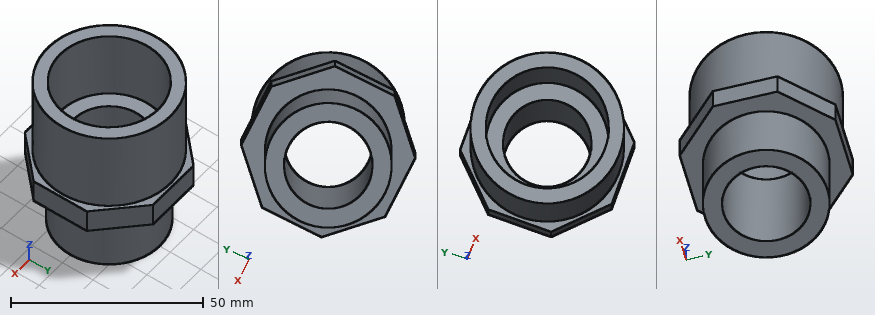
import cadquery as cq
import math

total_height = 52.5
spigot_length = 19.0
collar_height = 7.5
collar_across_flats = 42.0
collar_sides = 8

spigot_diameter = 33.0
socket_diameter = 40.0
socket_bore_diameter = 32.0
through_bore_diameter = 23.0
socket_depth = 22.05

collar_top = spigot_length + collar_height
socket_length = total_height - collar_top


def cylinder(diameter, bottom, height):
    """Upright cylinder on the Z axis, starting at the given level."""
    return cq.Workplane("XY").workplane(offset=bottom).circle(diameter / 2).extrude(height)


def octagonal_collar():
    """Wrench collar with flats facing the X and Y axes."""
    half_corner_angle = math.pi / collar_sides
    across_corners = collar_across_flats / math.cos(half_corner_angle)
    return (
        cq.Workplane("XY")
        .polygon(collar_sides, across_corners)
        .extrude(collar_height)
        .rotate((0, 0, 0), (0, 0, 1), math.degrees(half_corner_angle))
        .translate((0, 0, spigot_length))
    )


spigot = cylinder(spigot_diameter, 0, spigot_length)
socket = cylinder(socket_diameter, collar_top, socket_length)
body = spigot.union(octagonal_collar()).union(socket)

through_bore = cylinder(through_bore_diameter, 0, total_height)
socket_bore = cylinder(socket_bore_diameter, total_height - socket_depth, socket_depth)

result = body.cut(through_bore).cut(socket_bore)